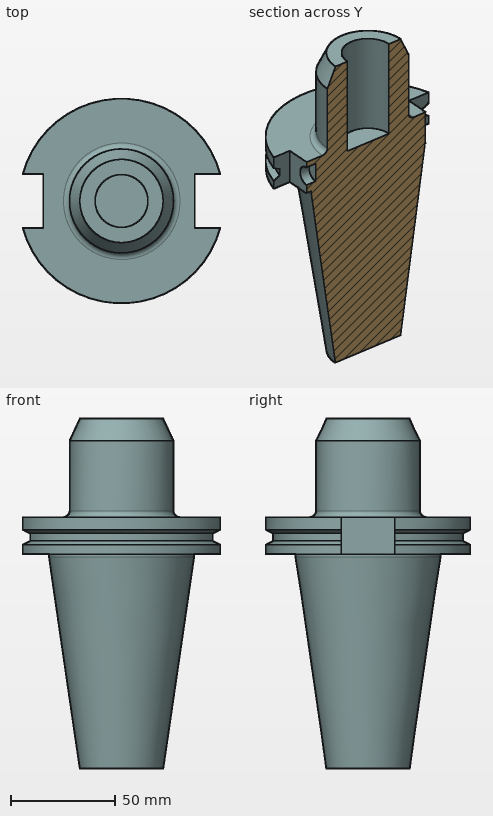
import cadquery as cq
import math


GAUGE_DIAMETER = 69.85
TAPER_LENGTH = 101.6
TAPER_RATIO = 7 / 24

FLANGE_DIAMETER = 98.43
FLANGE_BOTTOM = 1.4
FLANGE_THICKNESS = 17.8
FLANGE_TOP = FLANGE_BOTTOM + FLANGE_THICKNESS

GROOVE_DIAMETER = 91.6
GROOVE_FLOOR_WIDTH = 3.6
GROOVE_CENTER_DEPTH = 9.7
GROOVE_CENTER = FLANGE_TOP - GROOVE_CENTER_DEPTH
GROOVE_SIDE_ANGLE = 28

SLOT_WIDTH = 25.9
LEFT_SLOT_DISTANCE = 37.7
RIGHT_SLOT_DISTANCE = 35.3

DIMPLE_DIAMETER = 9.8
DIMPLE_DEPTH = 5.5
DIMPLE_CENTER_DEPTH = 8.1
DIMPLE_HEIGHT = FLANGE_TOP - DIMPLE_CENTER_DEPTH

TOTAL_LENGTH = 168.15
NOSE_TOP = TOTAL_LENGTH - TAPER_LENGTH
NOSE_DIAMETER = 50.0
NOSE_TIP_DIAMETER = 40.0
NOSE_CONE_ANGLE = 25
NOSE_FILLET = 3.0

BORE_DIAMETER = 25.4
BORE_DEPTH = 2 * BORE_DIAMETER


def make_body():
    """Revolve the whole outer outline, from the small taper end to the nose tip."""
    gauge_radius = GAUGE_DIAMETER / 2
    taper_end_radius = (GAUGE_DIAMETER - TAPER_LENGTH * TAPER_RATIO) / 2
    flange_radius = FLANGE_DIAMETER / 2
    groove_radius = GROOVE_DIAMETER / 2
    nose_radius = NOSE_DIAMETER / 2
    tip_radius = NOSE_TIP_DIAMETER / 2

    floor_half = GROOVE_FLOOR_WIDTH / 2
    groove_depth = flange_radius - groove_radius
    mouth_half = floor_half + groove_depth * math.tan(math.radians(GROOVE_SIDE_ANGLE))
    cone_height = (nose_radius - tip_radius) / math.tan(math.radians(NOSE_CONE_ANGLE))
    fillet_sag = NOSE_FILLET * (1 - math.sqrt(0.5))

    outline = (
        cq.Workplane("XZ")
        .moveTo(0, -TAPER_LENGTH)
        .lineTo(taper_end_radius, -TAPER_LENGTH)
        .lineTo(gauge_radius, 0)
        .lineTo(gauge_radius, FLANGE_BOTTOM)
        .lineTo(flange_radius, FLANGE_BOTTOM)
        .lineTo(flange_radius, GROOVE_CENTER - mouth_half)
        .lineTo(groove_radius, GROOVE_CENTER - floor_half)
        .lineTo(groove_radius, GROOVE_CENTER + floor_half)
        .lineTo(flange_radius, GROOVE_CENTER + mouth_half)
        .lineTo(flange_radius, FLANGE_TOP)
        .lineTo(nose_radius + NOSE_FILLET, FLANGE_TOP)
        .threePointArc(
            (nose_radius + fillet_sag, FLANGE_TOP + fillet_sag),
            (nose_radius, FLANGE_TOP + NOSE_FILLET),
        )
        .lineTo(nose_radius, NOSE_TOP - cone_height)
        .lineTo(tip_radius, NOSE_TOP)
        .lineTo(0, NOSE_TOP)
        .close()
    )
    return outline.revolve(360, (0, 0, 0), (0, 1, 0))


def make_drive_slot(side, floor_distance):
    """Block that cuts one drive slot; side is -1 for -X and +1 for +X."""
    block_length = FLANGE_DIAMETER / 2
    block_center = side * (floor_distance + block_length / 2)
    return (
        cq.Workplane("XY", origin=(block_center, 0, FLANGE_BOTTOM))
        .rect(block_length, SLOT_WIDTH)
        .extrude(FLANGE_THICKNESS)
    )


def make_dimple():
    """Blind radial hole that starts at the floor of the left slot."""
    return (
        cq.Workplane("YZ", origin=(-LEFT_SLOT_DISTANCE, 0, DIMPLE_HEIGHT))
        .circle(DIMPLE_DIAMETER / 2)
        .extrude(DIMPLE_DEPTH)
    )


def make_bore():
    """Blind tool bore from the nose tip down."""
    return (
        cq.Workplane("XY", origin=(0, 0, NOSE_TOP))
        .circle(BORE_DIAMETER / 2)
        .extrude(-BORE_DEPTH)
    )


result = (
    make_body()
    .cut(make_drive_slot(-1, LEFT_SLOT_DISTANCE))
    .cut(make_drive_slot(1, RIGHT_SLOT_DISTANCE))
    .cut(make_dimple())
    .cut(make_bore())
)